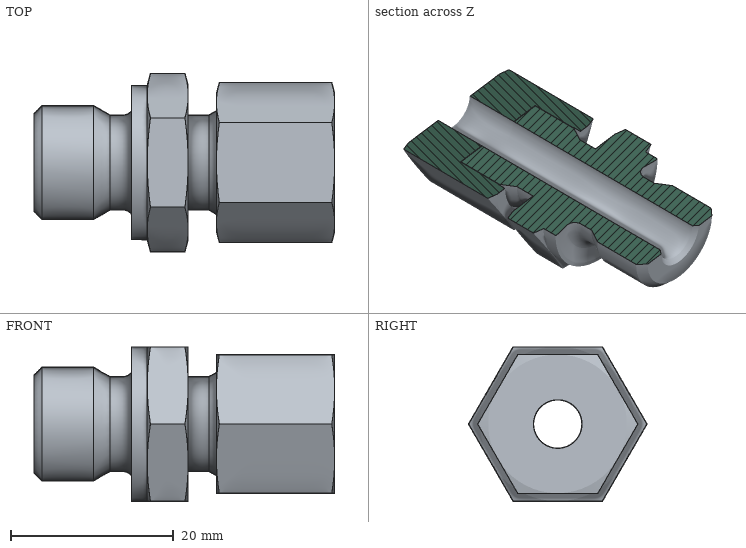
import cadquery as cq
import math

total_length = 37.0

stud_radius = 7.0
stud_chamfer = 1.0
stud_end = 7.35
neck_radius = 5.85
neck_start = 9.35
neck_end = 11.0
neck_fillet_radius = 1.25

collar_radius = 9.5
collar_front = 12.0
rim_inner_radius = 9.0
recess_inner_radius = neck_radius + neck_fillet_radius
recess_bottom = neck_end + neck_fillet_radius

body_hex_flats = 19.0
body_hex_front = 13.95
body_hex_rear = 18.98

tail_cone_start = 21.55
tail_cone_end = tail_cone_start + neck_start - stud_end
tail_radius = stud_radius
tail_depth_in_nut = 7.4

nut_front = 22.45
nut_flats = 17.05

bore_radius = 2.95
bore_mouth_radius = 3.5
bore_chamfer = bore_mouth_radius - bore_radius

hex_chamfer_angle = math.radians(15)

tail_end = nut_front + tail_depth_in_nut


def revolve_about_axis(profile):
    """Turn a closed profile, drawn as (axial position, radius), around the X axis."""
    return profile.close().revolve(360, (0, 0, 0), (1, 0, 0))


def cylinder(start, end, radius):
    """Solid cylinder along X."""
    return cq.Workplane("YZ", origin=(start, 0, 0)).circle(radius).extrude(end - start)


def chamfered_hexagon(start, end, flats):
    """Hexagonal prism along X with flats facing +Z and -Z and chamfered corners."""
    flat_radius = flats / 2
    corner_radius = flat_radius / math.cos(math.pi / 6)
    chamfer_length = (corner_radius - flat_radius) * math.tan(hex_chamfer_angle)
    prism = cq.Workplane("YZ", origin=(start, 0, 0)).polygon(6, 2 * corner_radius).extrude(end - start)
    envelope = revolve_about_axis(
        cq.Workplane("XY")
        .moveTo(start, 0)
        .lineTo(start, flat_radius)
        .lineTo(start + chamfer_length, corner_radius)
        .lineTo(end - chamfer_length, corner_radius)
        .lineTo(end, flat_radius)
        .lineTo(end, 0)
    )
    return prism.intersect(envelope)


def make_front_turning():
    """Stud, neck and collar, with a quarter-round fillet from the neck into the collar recess."""
    fillet_middle = (
        neck_end + neck_fillet_radius * math.sin(math.pi / 4),
        recess_inner_radius - neck_fillet_radius * math.cos(math.pi / 4),
    )
    return revolve_about_axis(
        cq.Workplane("XY")
        .moveTo(0, 0)
        .lineTo(0, stud_radius - stud_chamfer)
        .lineTo(stud_chamfer, stud_radius)
        .lineTo(stud_end, stud_radius)
        .lineTo(neck_start, neck_radius)
        .lineTo(neck_end, neck_radius)
        .threePointArc(fillet_middle, (recess_bottom, recess_inner_radius))
        .lineTo(collar_front, rim_inner_radius)
        .lineTo(collar_front, collar_radius)
        .lineTo(body_hex_front, collar_radius)
        .lineTo(body_hex_front, 0)
    )


def make_tail():
    """Neck behind the hexagon, widening by a cone to the part held in the nut."""
    return revolve_about_axis(
        cq.Workplane("XY")
        .moveTo(body_hex_rear, 0)
        .lineTo(body_hex_rear, neck_radius)
        .lineTo(tail_cone_start, neck_radius)
        .lineTo(tail_cone_end, tail_radius)
        .lineTo(tail_end, tail_radius)
        .lineTo(tail_end, 0)
    )


def make_bore():
    """Through bore with a countersunk mouth at the stud end."""
    return revolve_about_axis(
        cq.Workplane("XY")
        .moveTo(0, 0)
        .lineTo(0, bore_mouth_radius)
        .lineTo(bore_chamfer, bore_radius)
        .lineTo(total_length, bore_radius)
        .lineTo(total_length, 0)
    )


def make_fitting_body():
    hexagon = chamfered_hexagon(body_hex_front, body_hex_rear, body_hex_flats)
    return make_front_turning().union(hexagon).union(make_tail()).cut(make_bore())


def make_nut():
    """Hexagonal nut with a recess that fits the tail of the fitting body."""
    nut_blank = chamfered_hexagon(nut_front, total_length, nut_flats)
    return nut_blank.cut(cylinder(nut_front, tail_end, tail_radius)).cut(make_bore())


to_centre = (-total_length / 2, 0, 0)
fitting_body = make_fitting_body().translate(to_centre)
nut = make_nut().translate(to_centre)

result = cq.Compound.makeCompound([fitting_body.val(), nut.val()])